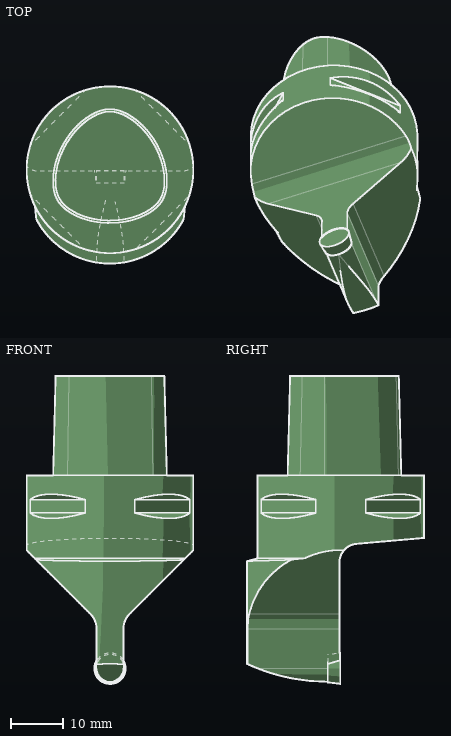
import cadquery as cq
import math

total_height = 59.0
shank_height = 19.05
tip_z = shank_height - total_height

shank_mean_diameter = 21.85
shank_taper = 1 / 20
lobe_eccentricity = 1.4
lobe_count = 3
lobe_half_span = 24.0
spline_steps = 12

flange_diameter = 32.0
flange_radius = flange_diameter / 2
flange_height = 15.9

groove_count = 4
groove_z = -5.9
groove_floor_distance = 14.15
groove_floor_width = 2.55
groove_wall_angle = 30.0
groove_overrun = 1.2

head_offset = 2.0
head_top_angle = 15.0

relief_edge_z = -12.0
relief_angle = 5.0
relief_fillet = 3.55
blade_face_y = -0.25

flank_start_z = -14.3
blade_half_width = 2.6
flank_fillet = 4.0
blade_bottom_radius = 36.6

insert_radius = 3.0
insert_thickness = 2.35
insert_protrusion = 0.15
insert_clearance = 7.0
insert_face_y = blade_face_y + insert_protrusion
insert_back_y = insert_face_y - insert_thickness
insert_z = tip_z + insert_radius
insert_back_radius = insert_radius - insert_thickness * math.tan(math.radians(insert_clearance))

cut_size = 2 * total_height


def lobed_point(diameter, degrees, z):
    """Point on the lobed curve; 180 degrees is the tip of the lobe that points to +Y."""
    angle = math.radians(degrees)
    along = (diameter / 2 * math.cos(angle) - lobe_eccentricity * math.cos(2 * angle)
             + lobe_eccentricity / 2 * math.cos(4 * angle))
    across = (diameter / 2 * math.sin(angle) + lobe_eccentricity * math.sin(2 * angle)
              + lobe_eccentricity / 2 * math.sin(4 * angle))
    return cq.Vector(across, -along, z)


def lobed_wire(diameter, z):
    """Closed outline of three lobes and three flanks, one spline each."""
    edges = []
    for i in range(lobe_count):
        lobe_tip = 180 + i * 360 / lobe_count
        lobe_start = lobe_tip - lobe_half_span
        lobe_end = lobe_tip + lobe_half_span
        next_start = lobe_start + 360 / lobe_count
        for start, end in ((lobe_start, lobe_end), (lobe_end, next_start)):
            step = (end - start) / spline_steps
            points = [lobed_point(diameter, start + k * step, z) for k in range(spline_steps + 1)]
            edges.append(cq.Edge.makeSpline(points))
    return cq.Wire.assembleEdges(edges)


def make_shank():
    top_diameter = shank_mean_diameter - shank_taper * shank_height
    base = lobed_wire(shank_mean_diameter, 0)
    top = lobed_wire(top_diameter, shank_height)
    return cq.Workplane("XY").add(cq.Solid.makeLoft([base, top], True))


def make_gripper_groove():
    """Trapezoidal cutter running along Y, on the +X side of the flange."""
    outer = flange_radius + groove_overrun
    half_floor = groove_floor_width / 2
    widening = (outer - groove_floor_distance) * math.tan(math.radians(groove_wall_angle))
    return (
        cq.Workplane("XZ")
        .moveTo(groove_floor_distance, groove_z - half_floor)
        .lineTo(outer, groove_z - half_floor - widening)
        .lineTo(outer, groove_z + half_floor + widening)
        .lineTo(groove_floor_distance, groove_z + half_floor)
        .close()
        .extrude(flange_radius, both=True)
    )


def make_flange():
    flange = cq.Workplane("XY").circle(flange_radius).extrude(-flange_height)
    for i in range(groove_count):
        angle = (i + 0.5) * 360 / groove_count
        flange = flange.cut(make_gripper_groove().rotate((0, 0, 0), (0, 0, 1), angle))
    return flange


def make_lower_head():
    """Offset cylinder under the flange, topped by a cone about the flange axis."""
    cone_radius = flange_radius + 2 * head_offset
    cone_drop = (cone_radius - flange_radius) * math.tan(math.radians(head_top_angle))
    envelope = (
        cq.Workplane("XZ")
        .moveTo(0, tip_z)
        .lineTo(0, -flange_height)
        .lineTo(flange_radius, -flange_height)
        .lineTo(cone_radius, -flange_height - cone_drop)
        .lineTo(cone_radius, tip_z)
        .close()
        .revolve(360, (0, 0, 0), (0, 1, 0))
    )
    cylinder = (
        cq.Workplane("XY")
        .center(0, -head_offset)
        .circle(flange_radius)
        .extrude(tip_z)
    )
    return cylinder.intersect(envelope)


def make_front_relief():
    """Space in front of the blade face and under the flange, with a rounded corner."""
    slope = math.tan(math.radians(relief_angle))
    corner_z = relief_edge_z - (flange_radius - blade_face_y) * slope
    far_z = relief_edge_z + (cut_size - flange_radius) * slope
    return (
        cq.Workplane("YZ")
        .moveTo(blade_face_y, corner_z)
        .lineTo(cut_size, far_z)
        .lineTo(cut_size, -cut_size)
        .lineTo(blade_face_y, -cut_size)
        .close()
        .extrude(cut_size / 2, both=True)
        .edges(cq.selectors.NearestToPointSelector((0, blade_face_y, corner_z)))
        .fillet(relief_fillet)
    )


def make_flank_cut():
    """Space beside the blade on the +X side, below the 45 degree flank."""
    corner_z = flank_start_z - (flange_radius - blade_half_width)
    far_z = flank_start_z + (cut_size - flange_radius)
    return (
        cq.Workplane("XZ")
        .moveTo(blade_half_width, corner_z)
        .lineTo(cut_size, far_z)
        .lineTo(cut_size, -cut_size)
        .lineTo(blade_half_width, -cut_size)
        .close()
        .extrude(cut_size / 2, both=True)
        .edges(cq.selectors.NearestToPointSelector((blade_half_width, 0, corner_z)))
        .fillet(flank_fillet)
    )


def make_blade_end_envelope():
    """Full-width shape with a half-round lower edge at the blade and a curved underside."""
    half_round = (
        cq.Workplane("XZ")
        .moveTo(-blade_half_width, insert_z)
        .threePointArc((0, insert_z - blade_half_width), (blade_half_width, insert_z))
        .close()
        .extrude(cut_size / 2, both=True)
    )
    upper = cq.Workplane("XY", origin=(0, 0, insert_z)).rect(cut_size, cut_size).extrude(cut_size)
    curve_center_z = insert_z - blade_half_width + blade_bottom_radius
    underside = (
        cq.Workplane("YZ", origin=(0, insert_back_y, curve_center_z))
        .circle(blade_bottom_radius)
        .extrude(cut_size / 2, both=True)
    )
    return upper.union(half_round).intersect(underside)


def make_insert():
    """Round insert, its flat face toward +Y and its flank narrowing toward -Y."""
    return (
        cq.Workplane("XY")
        .moveTo(0, insert_face_y)
        .lineTo(insert_radius, insert_face_y)
        .lineTo(insert_back_radius, insert_back_y)
        .lineTo(0, insert_back_y)
        .close()
        .revolve(360, (0, 0, 0), (0, 1, 0))
        .translate((0, 0, insert_z))
    )


def make_holder():
    flank_cut = make_flank_cut()
    return (
        make_flange()
        .union(make_lower_head())
        .cut(make_front_relief())
        .cut(flank_cut)
        .cut(flank_cut.mirror("YZ"))
        .intersect(make_blade_end_envelope())
        .cut(make_insert())
    )


shank = make_shank()
holder = make_holder()
insert = make_insert()

result = cq.Compound.makeCompound([shank.val(), *holder.solids().vals(), insert.val()])